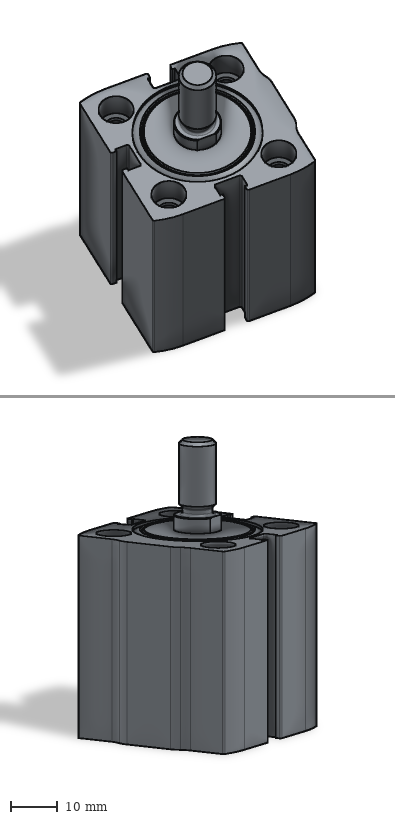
import cadquery as cq
import math

half_width = 19.25
housing_height = 44.0
flank_half_length = 12.7
flank_radius = 20.0
corner_fillet = 0.45

pad_height = 1.0
pad_middle = 7.6
blend_radius = 5.0

slot_depth = 4.45
slot_width = 6.5
slot_mouth_width = 5.2
slot_lip = 1.35
slot_mouth_fillet = 0.4
slot_floor_fillet = 0.5

screw_spacing = 26.05
screw_diameter = 4.2
screw_chamfer = 0.4
counterbore_diameter = 7.5
counterbore_depth = 5.7

seat_diameter = 27.8
seat_depth = 0.65
ring_diameter = 24.65
cap_diameter = 22.85
seam_chamfer = 0.3

rod_diameter = 10.15
rod_chamfer = 0.2
rod_bottom = 25.4
rod_shoulder = 47.3
rod_end = 63.5
across_flats = 9.15
flat_bottom = 41.3
thread_diameter = 8.0
thread_bottom = 49.65
neck_diameter = 6.4
neck_top_fillet = 0.4
neck_bottom_fillet = 0.6


def revolve_profile(points):
    """Turn a closed (radius, z) outline about the Z axis."""
    return cq.Workplane("XZ").polyline(points).close().revolve(360, (0, 0, 0), (0, 1, 0))


def make_profile_block():
    """Extruded block with bowed flanks and a smoothly blended pad on +Y."""
    bow_end = half_width - flank_half_length
    bow_end_x = half_width - flank_radius + math.sqrt(flank_radius**2 - bow_end**2)
    bow_mid = bow_end / 2
    bow_mid_x = half_width - flank_radius + math.sqrt(flank_radius**2 - bow_mid**2)
    bow_mid_y = flank_half_length + bow_mid

    blend_rise = pad_height / 2
    blend_run = math.sqrt(blend_radius**2 - (blend_radius - blend_rise)**2)
    pad_top = half_width + pad_height
    pad_mid_y = half_width + blend_rise

    block = (
        cq.Workplane("XY")
        .moveTo(-bow_end_x, -half_width)
        .lineTo(bow_end_x, -half_width)
        .threePointArc((bow_mid_x, -bow_mid_y), (half_width, -flank_half_length))
        .lineTo(half_width, flank_half_length)
        .threePointArc((bow_mid_x, bow_mid_y), (bow_end_x, half_width))
        .lineTo(pad_middle + blend_run, half_width)
        .tangentArcPoint((pad_middle, pad_mid_y), relative=False)
        .tangentArcPoint((pad_middle - blend_run, pad_top), relative=False)
        .lineTo(blend_run - pad_middle, pad_top)
        .tangentArcPoint((-pad_middle, pad_mid_y), relative=False)
        .tangentArcPoint((-pad_middle - blend_run, half_width), relative=False)
        .lineTo(-bow_end_x, half_width)
        .threePointArc((-bow_mid_x, bow_mid_y), (-half_width, flank_half_length))
        .lineTo(-half_width, -flank_half_length)
        .threePointArc((-bow_mid_x, -bow_mid_y), (-bow_end_x, -half_width))
        .close()
        .extrude(housing_height)
    )
    for x in (-bow_end_x, bow_end_x):
        for y in (-half_width, half_width):
            corner = cq.selectors.NearestToPointSelector((x, y, housing_height / 2))
            block = block.edges("|Z").edges(corner).fillet(corner_fillet)
    return block


def make_slot(angle):
    """T-slot cutter for the -Y side, turned about Z by the given angle."""
    floor_y = slot_depth - half_width
    lip_y = slot_lip - half_width
    chamber = (
        cq.Workplane("XY")
        .center(0, (floor_y + lip_y) / 2)
        .rect(slot_width, floor_y - lip_y)
        .extrude(housing_height)
        .edges("|Z and >Y")
        .fillet(slot_floor_fillet)
    )
    half_mouth = slot_mouth_width / 2
    flare = half_mouth + slot_mouth_fillet
    mouth = (
        cq.Workplane("XY")
        .moveTo(-half_mouth, lip_y)
        .lineTo(half_mouth, lip_y)
        .lineTo(half_mouth, slot_mouth_fillet - half_width)
        .radiusArc((flare, -half_width), -slot_mouth_fillet)
        .lineTo(-flare, -half_width)
        .radiusArc((-half_mouth, slot_mouth_fillet - half_width), -slot_mouth_fillet)
        .close()
        .extrude(housing_height)
    )
    return chamber.union(mouth).rotate((0, 0, 0), (0, 0, 1), angle)


def make_screw_hole():
    """Counterbored through hole whose small bore has a chamfered rim."""
    bore = screw_diameter / 2
    counterbore = counterbore_diameter / 2
    floor = housing_height - counterbore_depth
    return revolve_profile([
        (0, 0),
        (bore, 0),
        (bore, floor - screw_chamfer),
        (bore + screw_chamfer, floor),
        (counterbore, floor),
        (counterbore, housing_height),
        (0, housing_height),
    ])


def make_seat_groove():
    """Groove with an upright outer wall and a cone rising inwards to the top face."""
    return revolve_profile([
        (ring_diameter / 2, housing_height),
        (seat_diameter / 2, housing_height - seat_depth),
        (seat_diameter / 2, housing_height),
    ])


def make_seam_groove():
    """Narrow groove with chamfered walls around the cap disc."""
    outer = ring_diameter / 2
    inner = cap_diameter / 2
    floor = housing_height - seam_chamfer
    return revolve_profile([
        (inner, housing_height),
        (inner + seam_chamfer, floor),
        (outer - seam_chamfer, floor),
        (outer, housing_height),
    ])


def make_housing():
    housing = make_profile_block()
    for angle in (0, 90, -90):
        housing = housing.cut(make_slot(angle))
    for x in (-screw_spacing / 2, screw_spacing / 2):
        for y in (-screw_spacing / 2, screw_spacing / 2):
            housing = housing.cut(make_screw_hole().translate((x, y, 0)))
    housing = housing.cut(make_seat_groove()).cut(make_seam_groove())
    rod_bore = (
        cq.Workplane("XY")
        .workplane(offset=rod_bottom)
        .circle(rod_diameter / 2)
        .extrude(housing_height - rod_bottom)
    )
    return housing.cut(rod_bore)


def make_rod_shank():
    """Plain lower shank, with a collar above it that carries two wrench flats."""
    flat_bevel = (rod_diameter - across_flats) / 2
    shank = (
        cq.Workplane("XY")
        .workplane(offset=rod_bottom)
        .circle(rod_diameter / 2)
        .extrude(flat_bottom - rod_bottom)
        .faces(">Z")
        .chamfer(flat_bevel)
    )
    collar_bottom = flat_bottom - flat_bevel
    collar_height = rod_shoulder - collar_bottom
    flats = (
        cq.Workplane("XY")
        .workplane(offset=collar_bottom)
        .rect(across_flats, 2 * rod_diameter)
        .extrude(collar_height)
    )
    collar = (
        cq.Workplane("XY")
        .workplane(offset=collar_bottom)
        .circle(rod_diameter / 2)
        .extrude(collar_height)
        .faces(">Z")
        .chamfer(rod_chamfer)
        .intersect(flats)
    )
    return shank.union(collar)


def make_thread_end():
    """Threaded stud, left plain, with a bevelled tip and an undercut neck."""
    thread = thread_diameter / 2
    neck = neck_diameter / 2
    bevel = thread - neck
    cone_bottom = thread_bottom - bevel
    tangent = neck_top_fillet * math.tan(math.radians(22.5))
    slant = tangent * math.sqrt(0.5)
    return (
        cq.Workplane("XZ")
        .moveTo(0, rod_shoulder)
        .lineTo(neck + neck_bottom_fillet, rod_shoulder)
        .radiusArc((neck, rod_shoulder + neck_bottom_fillet), neck_bottom_fillet)
        .lineTo(neck, cone_bottom - tangent)
        .tangentArcPoint((neck + slant, cone_bottom + slant), relative=False)
        .lineTo(thread, thread_bottom)
        .lineTo(thread, rod_end - bevel)
        .lineTo(neck, rod_end)
        .lineTo(0, rod_end)
        .close()
        .revolve(360, (0, 0, 0), (0, 1, 0))
    )


def make_piston_rod():
    return make_rod_shank().union(make_thread_end())


housing = make_housing()
piston_rod = make_piston_rod()
result = cq.Compound.makeCompound([housing.val(), piston_rod.val()])